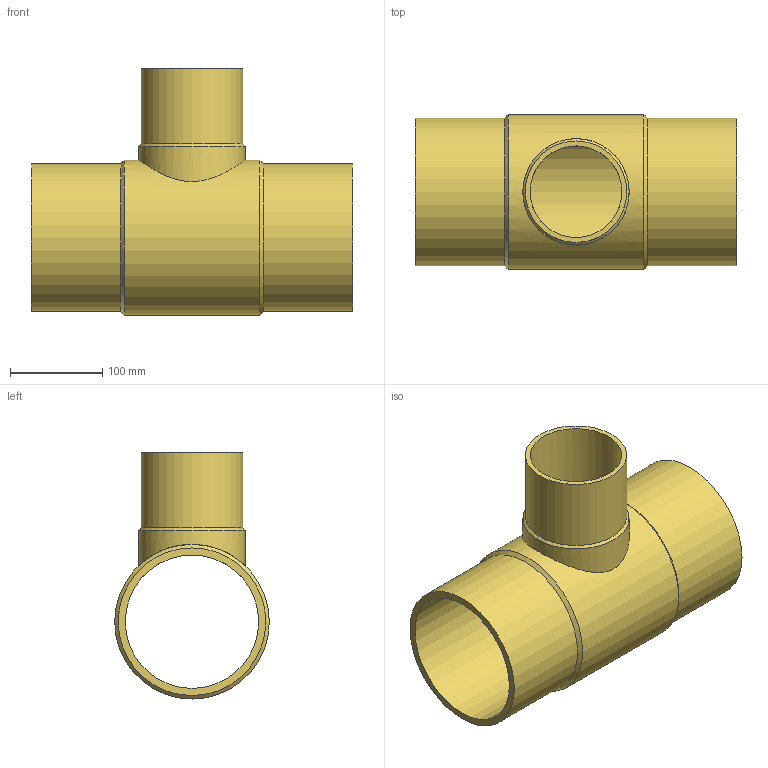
import cadquery as cq


run_length = 349.0
run_diameter = 160.0
run_bore = 144.6
run_sleeve_diameter = 167.7
run_sleeve_length = 155.0

branch_height = 183.0
branch_diameter = 110.0
branch_bore = 99.4
branch_sleeve_diameter = 115.3
branch_sleeve_height = 102.0

run_chamfer = (run_sleeve_diameter - run_diameter) / 2
branch_chamfer = (branch_sleeve_diameter - branch_diameter) / 2


def run_cylinder(diameter, length):
    """Cylinder along X, centred on the origin."""
    return cq.Workplane("YZ", origin=(-length / 2, 0, 0)).circle(diameter / 2).extrude(length)


def branch_cylinder(diameter, height):
    """Cylinder along Z, from the main axis up to the given height."""
    return cq.Workplane("XY").circle(diameter / 2).extrude(height)


def outer_body():
    """Solid main pipe and branch with their chamfered sleeves."""
    run_sleeve = run_cylinder(run_sleeve_diameter, run_sleeve_length)
    run_sleeve = run_sleeve.faces("<X or >X").chamfer(run_chamfer)
    branch_sleeve = branch_cylinder(branch_sleeve_diameter, branch_sleeve_height)
    branch_sleeve = branch_sleeve.faces(">Z").chamfer(branch_chamfer)
    return (
        run_cylinder(run_diameter, run_length)
        .union(run_sleeve)
        .union(branch_sleeve)
        .union(branch_cylinder(branch_diameter, branch_height))
    )


def bores():
    """Through bore of the main pipe joined by the branch bore."""
    return run_cylinder(run_bore, run_length).union(branch_cylinder(branch_bore, branch_height))


result = outer_body().cut(bores())